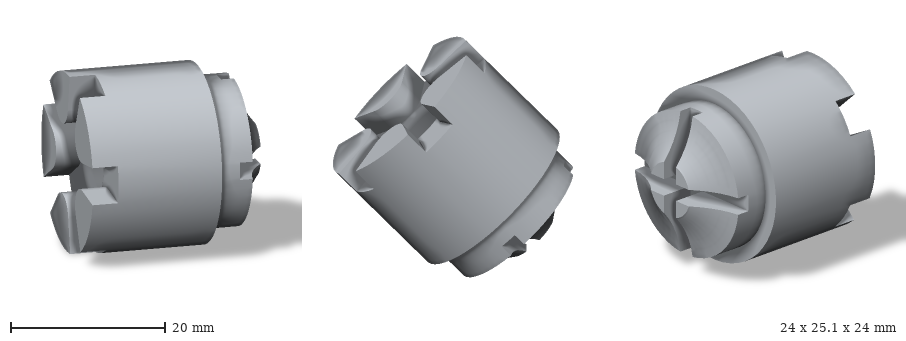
import cadquery as cq
import math

overall_length = 25.05
body_diameter = 24.0
neck_diameter = 20.0
nose_tip_diameter = 7.87
body_radius = body_diameter / 2
neck_radius = neck_diameter / 2
tip_radius = nose_tip_diameter / 2

shoulder_y = overall_length - 7.65
nose_y = overall_length - 2.9
tip_bevel = 0.15
nose_sag = 0.5

lug_count = 5
lug_height = 3.43
lug_turn = 0.6
lug_half_taper = 28.4
lug_apex_radius = 1.93
lug_inner_radius = 5.14
gap_overrun = 1.0
lug_overrun = 2 * gap_overrun

bore_diameter = 8.25
bore_lip_radius = 0.98
through_hole_diameter = 2.9

slot_width = 2.33
slot_depth = 4.65


def make_body():
    """Revolve the body, neck and concave nose."""
    bevel_y = overall_length - tip_bevel
    nose_run = neck_radius - tip_radius
    nose_rise = bevel_y - nose_y
    chord = math.hypot(nose_run, nose_rise)
    nose_middle = (
        (neck_radius + tip_radius) / 2 - nose_sag * nose_rise / chord,
        (nose_y + bevel_y) / 2 - nose_sag * nose_run / chord,
    )
    return (
        cq.Workplane("XY")
        .moveTo(0, 0)
        .lineTo(body_radius, 0)
        .lineTo(body_radius, shoulder_y)
        .lineTo(neck_radius, shoulder_y)
        .lineTo(neck_radius, nose_y)
        .threePointArc(nose_middle, (tip_radius, bevel_y))
        .lineTo(tip_radius - tip_bevel, overall_length)
        .lineTo(0, overall_length)
        .close()
        .revolve(360, (0, 0, 0), (0, 1, 0))
    )


def make_lug_gaps():
    """Disc that clears the lug end of the body, minus the wedge lugs with round inner ends."""
    taper = math.radians(lug_half_taper)
    round_centre = (lug_inner_radius - lug_apex_radius * math.sin(taper)) / (1 - math.sin(taper))
    round_radius = round_centre - lug_inner_radius
    tangent_x = round_centre - round_radius * math.sin(taper)
    tangent_z = round_radius * math.cos(taper)
    outer_x = body_radius + lug_overrun
    outer_z = (outer_x - lug_apex_radius) * math.tan(taper)
    lug = (
        cq.Workplane("XZ")
        .moveTo(outer_x, -outer_z)
        .lineTo(tangent_x, -tangent_z)
        .threePointArc((lug_inner_radius, 0), (tangent_x, tangent_z))
        .lineTo(outer_x, outer_z)
        .close()
        .extrude(-lug_height)
    )
    gaps = cq.Workplane("XZ").circle(body_radius + gap_overrun).extrude(-lug_height)
    for index in range(lug_count):
        angle = 180 - lug_turn + index * 360 / lug_count
        gaps = gaps.cut(lug.rotate((0, 0, 0), (0, 1, 0), angle))
    return gaps


def make_bore():
    """Blind bore with a rounded lip, and the through hole in its floor."""
    bore_radius = bore_diameter / 2
    lip_offset = bore_lip_radius * (1 - math.sqrt(0.5))
    bore = (
        cq.Workplane("XY")
        .moveTo(0, lug_height)
        .lineTo(bore_radius + bore_lip_radius, lug_height)
        .threePointArc(
            (bore_radius + lip_offset, lug_height + lip_offset),
            (bore_radius, lug_height + bore_lip_radius),
        )
        .lineTo(bore_radius, shoulder_y)
        .lineTo(0, shoulder_y)
        .close()
        .revolve(360, (0, 0, 0), (0, 1, 0))
    )
    hole = cq.Workplane("XZ").circle(through_hole_diameter / 2).extrude(-overall_length)
    return bore.union(hole)


def make_slots():
    """Two perpendicular slots across the nose."""
    slot = (
        cq.Workplane("XY")
        .box(body_diameter, slot_depth, slot_width)
        .translate((0, overall_length - slot_depth / 2, 0))
    )
    return slot.union(slot.rotate((0, 0, 0), (0, 1, 0), 90))


result = make_body().cut(make_lug_gaps()).cut(make_bore()).cut(make_slots())